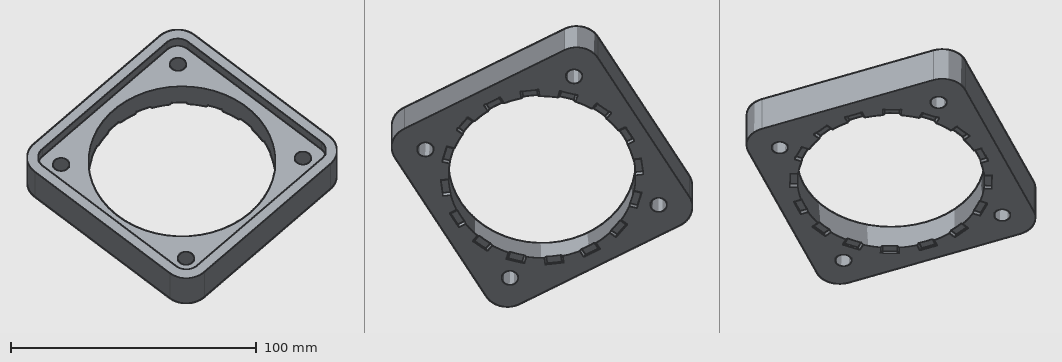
import cadquery as cq

side = 95.0
height = 17.2
corner_radius = 10.0

rim_width = 4.4
recess_depth = 5.0
recess_side = side - 2 * rim_width
recess_radius = 6.0

bore_diameter = 76.0
screw_hole_diameter = 6.65
screw_hole_spacing = 69.5

notch_count = 16
notch_roof_width = 5.9
notch_mouth_width = 7.6
notch_height = 1.0
notch_reach = 3.0


def rounded_square(width, thickness, radius):
    """Square plate standing on Z = 0 with rounded vertical edges."""
    plate = cq.Workplane("XY").box(width, width, thickness, centered=(True, True, False))
    return plate.edges("|Z").fillet(radius)


floor_height = height - recess_depth
frame = rounded_square(side, height, corner_radius)
recess = rounded_square(recess_side, recess_depth, recess_radius).translate((0, 0, floor_height))
bore = cq.Workplane("XY").circle(bore_diameter / 2).extrude(height)
screw_holes = (
    cq.Workplane("XY")
    .rect(screw_hole_spacing, screw_hole_spacing, forConstruction=True)
    .vertices()
    .circle(screw_hole_diameter / 2)
    .extrude(height)
)

notch_outline = [
    (-notch_mouth_width / 2, 0),
    (notch_mouth_width / 2, 0),
    (notch_roof_width / 2, notch_height),
    (-notch_roof_width / 2, notch_height),
]
notch_tool_length = bore_diameter / 2 + notch_reach
notch = cq.Workplane("XZ").polyline(notch_outline).close().extrude(notch_tool_length)

result = frame.cut(recess).cut(bore).cut(screw_holes)
for index in range(notch_count):
    angle = index * 360 / notch_count
    result = result.cut(notch.rotate((0, 0, 0), (0, 0, 1), angle))